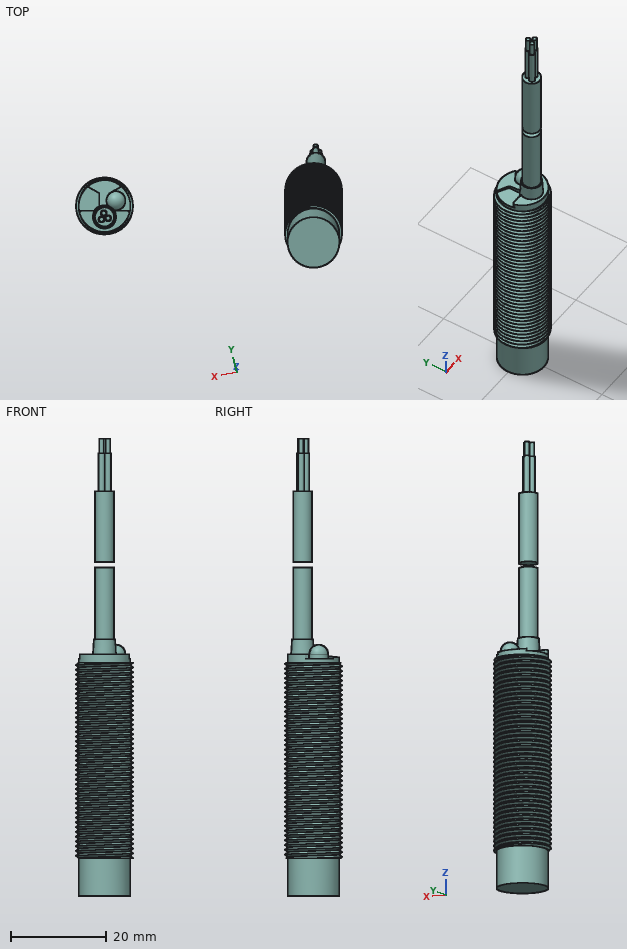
import cadquery as cq
import math

THREAD_RADIUS = 6.0
THREAD_PITCH = 1.0
THREAD_DEPTH = 0.6
THREAD_BASE = 0.96
THREAD_BOTTOM = 8.0
THREAD_TURNS = 41
THREAD_TOP = THREAD_BOTTOM + THREAD_TURNS * THREAD_PITCH
THREAD_START = 8.0
RIDGE_TURNS = 6
CORE_SEAM_ANGLE = 37.0
ROOT_OVERLAP = 0.1
ROOT_RADIUS = THREAD_RADIUS - THREAD_DEPTH
NOSE_RADIUS = 5.45

CAP_RADIUS = 5.45
CAP_TOP = 50.8
RECESS_FLOOR = 49.85
RECESS_FRONT_Y = -1.0
SEGMENT_CORNER_RADIUS = 0.45
RIB_HALF_WIDTH = 1.05
RIB_FLARE_Y = 2.65
RIB_FLARE_ANGLE = 30.0
RIB_DROP = 0.65

LAMP_X = 2.4
LAMP_Y = 1.1
LAMP_RADIUS = 2.0

CABLE_Y = -2.3
JACKET_RADIUS = 2.0
COLLAR_TOP = 53.9
COLLAR_TOP_RADIUS = 2.25
COLLAR_BASE_RADIUS = 2.5
LOWER_CABLE_TOP = 69.0
UPPER_CABLE_BOTTOM = 70.1
JACKET_TOP = 85.0
INSULATION_TOP = 93.0
WIRE_TOP = 96.0
INSULATION_RADIUS = 0.65
WIRE_RADIUS = 0.5
WIRE_CIRCLE_RADIUS = 0.8
WIRE_COUNT = 3
FIRST_WIRE_ANGLE = 100.0


def cylinder(x, y, radius, bottom, top):
    return cq.Workplane("XY", origin=(x, y, bottom)).circle(radius).extrude(top - bottom)


def thread_ridge(bottom, turns):
    """Right-hand helical ridge of V section, bounded by ruled surfaces between its corner helices."""
    half_base = THREAD_BASE / 2
    inner = ROOT_RADIUS - ROOT_OVERLAP
    corners = [
        (inner, -half_base),
        (ROOT_RADIUS, -half_base),
        (THREAD_RADIUS, 0),
        (ROOT_RADIUS, half_base),
        (inner, half_base),
    ]
    helices = []
    for radius, rise in corners:
        helix = cq.Wire.makeHelix(THREAD_PITCH, turns * THREAD_PITCH, radius)
        helices.append(helix.translate(cq.Vector(0, 0, bottom + rise)))
    faces = [cq.Face.makeRuledSurface(helices[i - 1], helices[i]) for i in range(len(helices))]
    for ends in ([h.startPoint() for h in helices], [h.endPoint() for h in helices]):
        faces.append(cq.Face.makeFromWires(cq.Wire.makePolygon(ends, close=True)))
    return cq.Solid.makeSolid(cq.Shell.makeShell(faces))


def thread_turn():
    """One pitch of the threaded rod, with flat ends that match each other."""
    origin = cq.Vector(0, 0, THREAD_BOTTOM)
    slab = cq.Solid.makeCylinder(2 * THREAD_RADIUS, THREAD_PITCH, origin)
    ridge = thread_ridge(THREAD_START - 2 * THREAD_PITCH, RIDGE_TURNS).intersect(slab)
    core = cq.Solid.makeCylinder(ROOT_RADIUS, THREAD_PITCH, origin)
    core = core.rotate(origin, origin + cq.Vector(0, 0, 1), CORE_SEAM_ANGLE)
    return core.fuse(*ridge.Solids())


def threaded_rod():
    """Full thread: the side faces of one turn repeated upwards, closed by its two flat ends."""
    faces = []
    for face in thread_turn().Faces():
        if face.geomType() != "PLANE":
            faces += [face.translate(cq.Vector(0, 0, i * THREAD_PITCH)) for i in range(THREAD_TURNS)]
        elif face.Center().z < THREAD_BOTTOM + THREAD_PITCH / 2:
            faces.append(face)
        else:
            faces.append(face.translate(cq.Vector(0, 0, (THREAD_TURNS - 1) * THREAD_PITCH)))
    return cq.Workplane(cq.Solid.makeSolid(cq.Shell.makeShell(faces)))


def cap_recess(side):
    """Sunken segment of the cap on one side of the rib."""
    beyond = 2 * CAP_RADIUS
    flare_run = beyond - RIB_HALF_WIDTH
    flare_end_y = RIB_FLARE_Y + flare_run * math.tan(math.radians(RIB_FLARE_ANGLE))
    return (
        cq.Workplane("XY", origin=(0, 0, RECESS_FLOOR))
        .polyline([
            (side * RIB_HALF_WIDTH, RECESS_FRONT_Y),
            (side * RIB_HALF_WIDTH, RIB_FLARE_Y),
            (side * beyond, flare_end_y),
            (side * beyond, RECESS_FRONT_Y),
        ])
        .close()
        .extrude(CAP_TOP - RECESS_FLOOR)
    )


def rib_slope():
    """Wedge that lets the rib top fall towards the back rim."""
    return (
        cq.Workplane("YZ")
        .polyline([
            (RECESS_FRONT_Y, CAP_TOP),
            (CAP_RADIUS, CAP_TOP - RIB_DROP),
            (CAP_RADIUS, CAP_TOP),
        ])
        .close()
        .extrude(CAP_RADIUS, both=True)
    )


def lamp():
    dome = cq.Workplane("XY", origin=(LAMP_X, LAMP_Y, CAP_TOP)).sphere(LAMP_RADIUS)
    return dome.union(cylinder(LAMP_X, LAMP_Y, LAMP_RADIUS, THREAD_TOP, CAP_TOP))


def collar():
    return (
        cq.Workplane("XY", origin=(0, CABLE_Y, RECESS_FLOOR))
        .circle(COLLAR_BASE_RADIUS)
        .workplane(offset=COLLAR_TOP - RECESS_FLOOR)
        .circle(COLLAR_TOP_RADIUS)
        .loft()
    )


def cap():
    """Cap with two recesses, a sloping rib between them and a raised front segment."""
    body = cylinder(0, 0, CAP_RADIUS, THREAD_TOP, CAP_TOP).cut(rib_slope())
    corner_x = math.sqrt(CAP_RADIUS**2 - RECESS_FRONT_Y**2)
    corner_z = (RECESS_FLOOR + CAP_TOP) / 2
    for side in (-1, 1):
        body = body.cut(cap_recess(side))
        corner = cq.selectors.NearestToPointSelector((side * corner_x, RECESS_FRONT_Y, corner_z))
        body = body.edges("|Z").edges(corner).fillet(SEGMENT_CORNER_RADIUS)
    return body


def make_sensor():
    nose = cylinder(0, 0, NOSE_RADIUS, 0, THREAD_BOTTOM)
    lower_cable = cylinder(0, CABLE_Y, JACKET_RADIUS, COLLAR_TOP, LOWER_CABLE_TOP)
    head = cap().union(lamp()).union(collar()).union(lower_cable)
    return threaded_rod().union(nose, clean=False).union(head, clean=False)


def make_cable_end():
    cable = cylinder(0, CABLE_Y, JACKET_RADIUS, UPPER_CABLE_BOTTOM, JACKET_TOP)
    for i in range(WIRE_COUNT):
        angle = math.radians(FIRST_WIRE_ANGLE + i * 360 / WIRE_COUNT)
        x = WIRE_CIRCLE_RADIUS * math.cos(angle)
        y = CABLE_Y + WIRE_CIRCLE_RADIUS * math.sin(angle)
        cable = cable.union(cylinder(x, y, INSULATION_RADIUS, JACKET_TOP, INSULATION_TOP))
        cable = cable.union(cylinder(x, y, WIRE_RADIUS, INSULATION_TOP, WIRE_TOP))
    return cable


sensor = make_sensor()
cable_end = make_cable_end()
result = cq.Compound.makeCompound([sensor.val(), cable_end.val()])